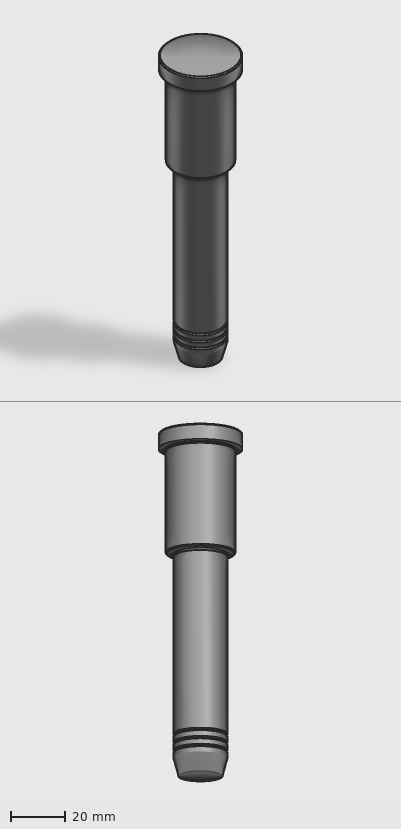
import cadquery as cq
import math

total_length = 131.0
head_diameter = 31.0
head_thickness = 6.0
shoulder_diameter = 26.0
shoulder_end_depth = 46.0
pin_diameter = 20.0

head_chamfer = 0.5
shoulder_chamfer = 0.5
tip_fillet = 0.5

relief_width = 0.9
relief_depth = relief_width / 2
neck_width = 1.0
neck_depth = 0.4
groove_width = 1.0
groove_depth = groove_width / 2
groove_depths_from_top = (114.9, 118.0, 121.0)

taper_length = 7.0
taper_angle = 15.0
tip_diameter = pin_diameter - 2 * taper_length * math.tan(math.radians(taper_angle))


def cylinder(diameter, z_bottom, z_top):
    """Solid cylinder on the Z axis between two heights."""
    return cq.Workplane("XY").workplane(offset=z_bottom).circle(diameter / 2).extrude(z_top - z_bottom)


def square_groove(diameter, depth, z_top, width):
    """Ring that cuts a square groove into a cylinder of the given diameter."""
    outer = cylinder(diameter + 2 * depth, z_top - width, z_top)
    return outer.cut(cylinder(diameter - 2 * depth, z_top - width, z_top))


def vee_groove(diameter, depth, z_top, width):
    """Ring that cuts a V-shaped groove into a cylinder of the given diameter."""
    radius = diameter / 2
    return (
        cq.Workplane("XZ")
        .moveTo(radius, z_top)
        .lineTo(radius - depth, z_top - width / 2)
        .lineTo(radius, z_top - width)
        .close()
        .revolve(360, (0, 0, 0), (0, 1, 0))
    )


head_bottom = total_length - head_thickness
shoulder_bottom = total_length - shoulder_end_depth

head = cylinder(head_diameter, head_bottom, total_length).faces(">Z").edges().chamfer(head_chamfer)

shoulder = cylinder(shoulder_diameter, shoulder_bottom, head_bottom)
shoulder = shoulder.faces("<Z").edges().chamfer(shoulder_chamfer)
shoulder = shoulder.cut(vee_groove(shoulder_diameter, relief_depth, head_bottom, relief_width))

pin = cylinder(pin_diameter, taper_length, shoulder_bottom)
pin = pin.cut(square_groove(pin_diameter, neck_depth, shoulder_bottom, neck_width))
for depth_from_top in groove_depths_from_top:
    pin = pin.cut(vee_groove(pin_diameter, groove_depth, total_length - depth_from_top, groove_width))

tip = (
    cq.Workplane("XY")
    .circle(tip_diameter / 2)
    .workplane(offset=taper_length)
    .circle(pin_diameter / 2)
    .loft(ruled=True)
    .faces("<Z")
    .edges()
    .fillet(tip_fillet)
)

result = head.union(shoulder).union(pin).union(tip)